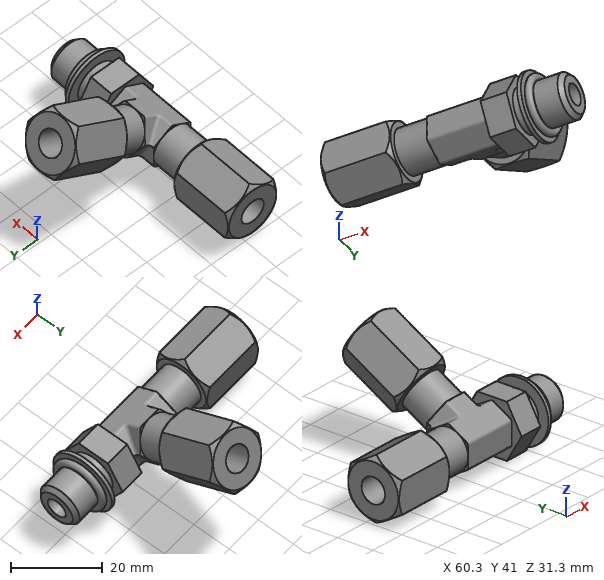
import cadquery as cq
import math

TILT = 30.0

HEX_HALF_ANGLE = 30.0
HEX_FLATS = 14.4
NUT_LENGTH = 17.75
NUT_REACH = 33.65
NUT_FACE_DIAMETER = 14.05
NUT_CHAMFER_LENGTH = 1.15
COLLAR_START = 7.6
COLLAR_LENGTH = 6.6
COLLAR_TURN = -TILT

TUBE_DIAMETER = 11.1
BLOCK_FLATS = TUBE_DIAMETER
BRANCH_BLOCK_LENGTH = 8.0
BLOCK_FILLET = 0.9

OVERALL_LENGTH = 60.3
STUD_REACH = OVERALL_LENGTH - NUT_REACH
STUD_CHAMFER_LENGTH = 1.15
STUD_CHAMFER_DEPTH = 1.0
WASHER_START = 16.9
WASHER_THICKNESS = 0.95
WASHER_DIAMETER = 16.65
RING_DIAMETER = 14.6
RING_WIDTH = 1.9
RING_SEAT = 0.05

SOCKET_DIAMETER = 6.65
BORE_DIAMETER = 5.2

LEFT = cq.Plane(origin=(0, 0, 0), xDir=(0, 1, 0), normal=(-1, 0, 0))
RIGHT = cq.Plane(origin=(0, 0, 0), xDir=(0, 1, 0), normal=(1, 0, 0))
BRANCH = cq.Plane(origin=(0, 0, 0), xDir=(1, 0, 0), normal=(0, 1, 0))


def across_corners(flats):
    return flats / math.cos(math.radians(HEX_HALF_ANGLE))


def place(shape, plane):
    """Move a shape built along Z so that it lies along the plane normal."""
    return cq.Workplane(shape.val().moved(cq.Location(plane)))


def hexagon(plane, start, length, flats, turn=0):
    """Hexagonal prism along the plane normal, a corner on the plane's x direction when turn is 0."""
    prism = cq.Workplane("XY").workplane(offset=start).polygon(6, across_corners(flats))
    prism = prism.extrude(length)
    return place(prism.rotate((0, 0, 0), (0, 0, 1), turn), plane)


def cylinder(plane, start, length, diameter):
    return cq.Workplane(plane).workplane(offset=start).circle(diameter / 2).extrude(length)


def nut(plane):
    """Hexagonal nut whose corners are chamfered by a cone at both ends."""
    start = NUT_REACH - NUT_LENGTH
    face_radius = NUT_FACE_DIAMETER / 2
    corner_radius = across_corners(HEX_FLATS) / 2
    envelope = (
        cq.Workplane("XZ")
        .moveTo(0, start)
        .lineTo(face_radius, start)
        .lineTo(corner_radius, start + NUT_CHAMFER_LENGTH)
        .lineTo(corner_radius, NUT_REACH - NUT_CHAMFER_LENGTH)
        .lineTo(face_radius, NUT_REACH)
        .lineTo(0, NUT_REACH)
        .close()
        .revolve(360, (0, 0, 0), (0, 1, 0))
    )
    return hexagon(plane, start, NUT_LENGTH, HEX_FLATS).intersect(place(envelope, plane))


def on_back_ridge(edge):
    """True for the corner edges on the branch side that lie in the mid-plane of the tee."""
    middle = edge.Center()
    return middle.y > 0 and abs(middle.z) < BLOCK_FILLET / 2


def junction_block():
    """Two hexagonal bars crossing in a tee, flush on their flats.

    All edges along the bars and the valleys between them are rounded, except the ridges
    in the mid-plane on the branch side, which stay sharp.
    """
    run = hexagon(RIGHT, -COLLAR_START, 2 * COLLAR_START, BLOCK_FLATS)
    branch = hexagon(BRANCH, 0, BRANCH_BLOCK_LENGTH, BLOCK_FLATS)
    block = run.union(branch)
    lengthwise = block.edges("not (>X or <X or >Y)")
    return lengthwise.filter(lambda edge: not on_back_ridge(edge)).fillet(BLOCK_FILLET)


def stud():
    """Plain round stud with a chamfered tip, a washer and a round sealing ring."""
    ring_radius = (RING_WIDTH + RING_SEAT) / 2
    ring_centre_radius = RING_DIAMETER / 2 - ring_radius
    ring_position = WASHER_START + WASHER_THICKNESS - RING_SEAT + ring_radius
    shank = cylinder(RIGHT, COLLAR_START, STUD_REACH - COLLAR_START, TUBE_DIAMETER)
    shank = shank.faces(">X").edges().chamfer(STUD_CHAMFER_LENGTH, STUD_CHAMFER_DEPTH)
    washer = cylinder(RIGHT, WASHER_START, WASHER_THICKNESS, WASHER_DIAMETER)
    ring = (
        cq.Workplane(cq.Plane(origin=(ring_position, 0, 0), xDir=(0, 1, 0), normal=(0, 0, -1)))
        .center(-ring_centre_radius, 0)
        .circle(ring_radius)
        .revolve(360, (ring_centre_radius, 0, 0), (ring_centre_radius, 1, 0))
    )
    return shank.union(washer).union(ring)


def fitting():
    """Whole fitting with the branch along Y, bored from all three ends."""
    nut_start = NUT_REACH - NUT_LENGTH
    body = junction_block().union(hexagon(RIGHT, COLLAR_START, COLLAR_LENGTH, HEX_FLATS, COLLAR_TURN))
    body = body.union(stud())
    for plane in (LEFT, BRANCH):
        body = body.union(cylinder(plane, 0, nut_start, TUBE_DIAMETER)).union(nut(plane))
    body = body.cut(cylinder(RIGHT, -NUT_REACH, OVERALL_LENGTH, BORE_DIAMETER))
    body = body.cut(cylinder(BRANCH, 0, NUT_REACH, BORE_DIAMETER))
    for plane in (LEFT, BRANCH):
        body = body.cut(cylinder(plane, nut_start, NUT_LENGTH, SOCKET_DIAMETER))
    return body


result = fitting().rotate((0, 0, 0), (1, 0, 0), TILT)